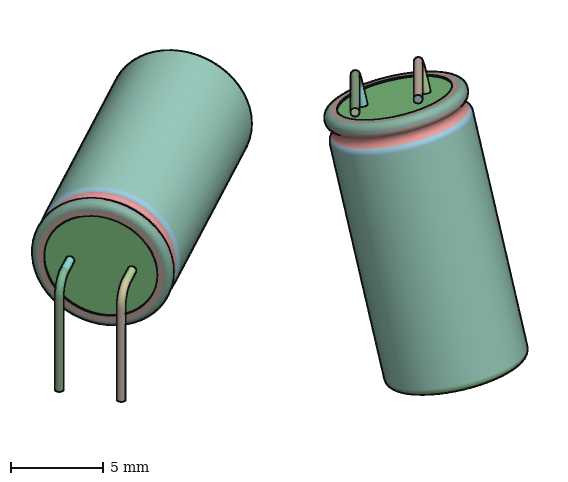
import cadquery as cq
import math

overall_length = 18.25

can_diameter = 8.0
can_length = 15.99
rim_radius = 0.4

lip_land = 0.07
groove_depth = 0.33
groove_arc_radius = 0.4

seal_diameter = 6.4
seal_recess = 0.1

lead_diameter = 0.5
lead_spacing = 3.5
lead_bend_radius = 1.0
lead_drop = 7.1
lead_embed = 0.18

can_radius = can_diameter / 2
flat_radius = can_radius - rim_radius
lead_reach = overall_length - can_length - lead_diameter / 2
lead_straight = lead_reach - lead_bend_radius
diagonal = math.sqrt(0.5)


def make_can():
    """Revolve the can: rounded ends and a groove of three tangent arcs of equal radius."""
    rim_inset = rim_radius * (1 - diagonal)

    half_depth = groove_depth / 2
    arc_angle = math.acos(1 - half_depth / groove_arc_radius)
    arc_width = groove_arc_radius * math.sin(arc_angle)
    mid_inset = groove_arc_radius * (1 - math.cos(arc_angle / 2))
    mid_width = groove_arc_radius * math.sin(arc_angle / 2)
    join_radius = can_radius - half_depth
    groove_start = rim_radius + lip_land
    groove_middle = groove_start + 2 * arc_width
    groove_end = groove_start + 4 * arc_width

    profile = (
        cq.Workplane("XY")
        .lineTo(flat_radius, 0)
        .threePointArc((can_radius - rim_inset, rim_inset), (can_radius, rim_radius))
        .lineTo(can_radius, groove_start)
        .threePointArc(
            (can_radius - mid_inset, groove_start + mid_width),
            (join_radius, groove_start + arc_width),
        )
        .threePointArc(
            (can_radius - groove_depth, groove_middle),
            (join_radius, groove_end - arc_width),
        )
        .threePointArc(
            (can_radius - mid_inset, groove_end - mid_width),
            (can_radius, groove_end),
        )
        .lineTo(can_radius, can_length - rim_radius)
        .threePointArc(
            (can_radius - rim_inset, can_length - rim_inset),
            (flat_radius, can_length),
        )
        .lineTo(0, can_length)
        .close()
    )
    return profile.revolve(360, (0, 0, 0), (0, 1, 0))


def make_seal_recess():
    """Shallow disc that drops the seal below the rim."""
    return cq.Workplane("XZ").circle(seal_diameter / 2).extrude(-seal_recess)


def make_lead(x):
    """Round wire that leaves the seal straight and then bends down."""
    bend_middle_y = -lead_straight - lead_bend_radius * diagonal
    bend_middle_z = -lead_bend_radius * (1 - diagonal)
    path = (
        cq.Workplane("YZ", origin=(x, 0, 0))
        .moveTo(lead_embed, 0)
        .lineTo(-lead_straight, 0)
        .threePointArc((bend_middle_y, bend_middle_z), (-lead_reach, -lead_bend_radius))
        .lineTo(-lead_reach, -lead_drop)
    )
    section = cq.Workplane("XZ", origin=(x, lead_embed, 0)).circle(lead_diameter / 2)
    return section.sweep(path)


result = make_can().cut(make_seal_recess())
for side in (-1, 1):
    result = result.union(make_lead(side * lead_spacing / 2))